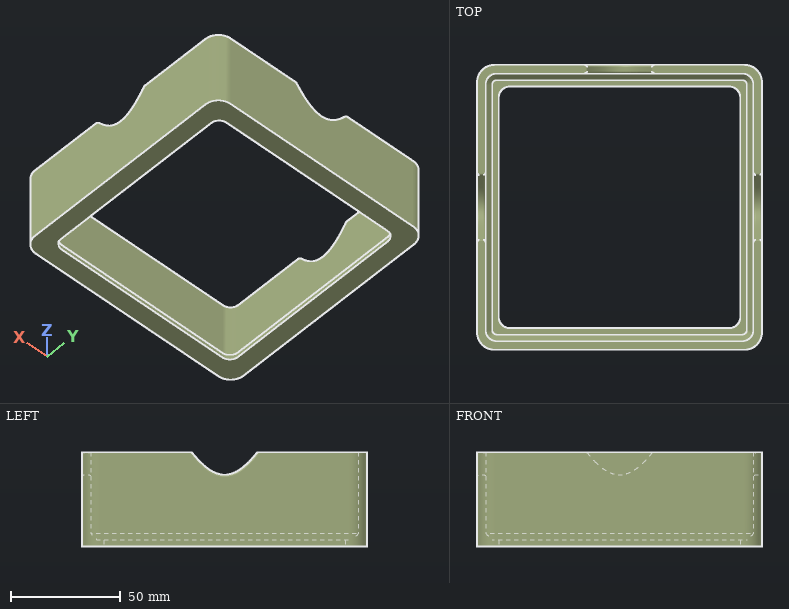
import cadquery as cq
import math

side = 130.0
height = 43.0
outer_radius = 8.0

wall = 4.0
cavity_radius = 5.0
ledge_height = 3.0
slope_size = 3.0

opening_inset = 10.0
opening_radius = 5.0

notch_depth = 10.3
notch_half_width = 15.0
flank_angle = math.radians(52)
notch_edge_radius = 1.0
selection_margin = 0.6


def rounded_block(size, radius, bottom, top):
    """Square block with rounded vertical edges, centred on Z."""
    block = cq.Workplane("XY").workplane(offset=bottom).rect(size, size).extrude(top - bottom)
    return block.edges("|Z").fillet(radius)


def notch_cutter(plane, length):
    """Notch profile on the given upright plane, extruded along its normal."""
    flank_x = math.cos(flank_angle)
    flank_z = math.sin(flank_angle)
    return (
        cq.Workplane(plane)
        .moveTo(-notch_half_width, height)
        .spline(
            [(0, height - notch_depth), (notch_half_width, height)],
            tangents=[(flank_x, -flank_z), (flank_x, flank_z)],
            includeCurrent=True,
        )
        .close()
        .extrude(length)
    )


cavity_size = side - 2 * wall
cavity = rounded_block(cavity_size, cavity_radius, ledge_height, height)
cavity = cavity.faces("<Z").edges().chamfer(slope_size)
opening = rounded_block(side - 2 * opening_inset, opening_radius, 0, height)
frame = rounded_block(side, outer_radius, 0, height).cut(cavity).cut(opening)

frame = frame.cut(notch_cutter("YZ", side)).cut(notch_cutter("YZ", -side))
frame = frame.cut(notch_cutter("XZ", -side))

notch_reach = notch_half_width + selection_margin
notch_bottom = height - notch_depth - selection_margin
notch_top = height + selection_margin
x_wall_notches = cq.selectors.BoxSelector(
    (-side, -notch_reach, notch_bottom), (side, notch_reach, notch_top)
)
y_wall_notch = cq.selectors.BoxSelector(
    (-notch_reach, cavity_size / 2 - selection_margin, notch_bottom), (notch_reach, side, notch_top)
)
result = frame.edges(x_wall_notches + y_wall_notch).fillet(notch_edge_radius)